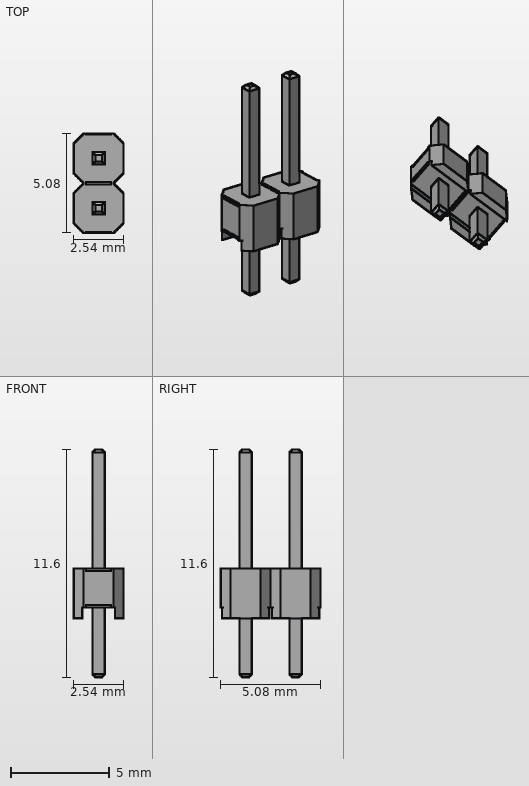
import cadquery as cq

pin_count = 2
pitch = 2.54

block_width = pitch
housing_height = pitch
corner_chamfer = 0.508

channel_width = 1.65
channel_height = 0.54

notch_length = 1.27
notch_depth = 0.0635
notch_height = 0.127

pin_width = 0.64
pin_length = 11.6
pin_below_housing = 3.0
tip_bevel = 0.16

row_length = pin_count * pitch
pin_positions = [(i - (pin_count - 1) / 2) * pitch for i in range(pin_count)]
block_boundaries = [i * pitch - row_length / 2 for i in range(pin_count + 1)]


def block(y):
    """Octagonal block around the pin at y."""
    return (
        cq.Workplane("XY")
        .center(0, y)
        .rect(block_width, pitch)
        .extrude(housing_height)
        .edges("|Z")
        .chamfer(corner_chamfer)
    )


def underside_channel():
    """Cutter for the channel running the full length of the row."""
    return cq.Workplane("XY").rect(channel_width, row_length).extrude(channel_height)


def boundary_notches(y):
    """Cutters for the top and bottom notches on the block boundary at y."""
    bar = cq.Workplane("XY").center(0, y).rect(notch_length, 2 * notch_depth).extrude(notch_height)
    bottom = bar.translate((0, 0, channel_height))
    top = bar.translate((0, 0, housing_height - notch_height))
    return bottom.union(top)


def pin(y):
    """Square pin through the housing at y, bevelled at both ends."""
    return (
        cq.Workplane("XY", origin=(0, y, -pin_below_housing))
        .rect(pin_width, pin_width)
        .extrude(pin_length)
        .faces("<Z or >Z")
        .chamfer(tip_bevel)
    )


def housing():
    """Joined blocks with the channel and the notches cut away."""
    body = block(pin_positions[0])
    for y in pin_positions[1:]:
        body = body.union(block(y))
    body = body.cut(underside_channel())
    for y in block_boundaries:
        body = body.cut(boundary_notches(y))
    return body


result = housing()
for pin_y in pin_positions:
    result = result.union(pin(pin_y))